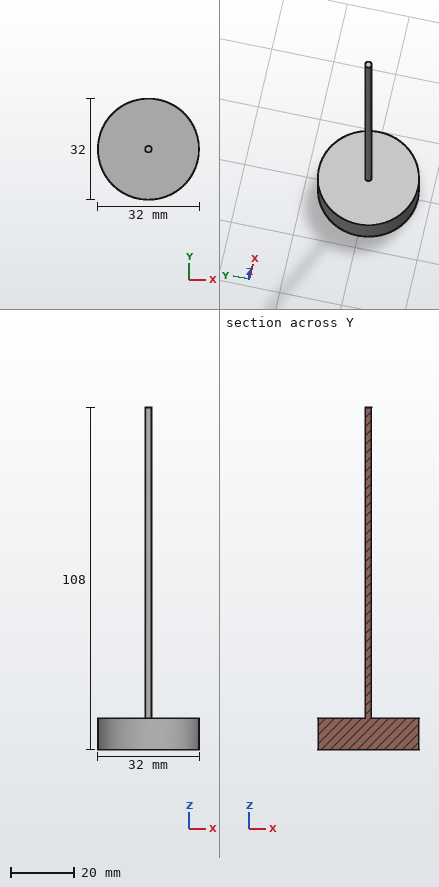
import cadquery as cq

total_height = 108.0
base_diameter = 32.0
base_height = 10.0
rod_diameter = 2.0

base = cq.Workplane("XY").circle(base_diameter / 2).extrude(base_height)

rod = cq.Workplane("XY").circle(rod_diameter / 2).extrude(total_height)

result = base.union(rod)